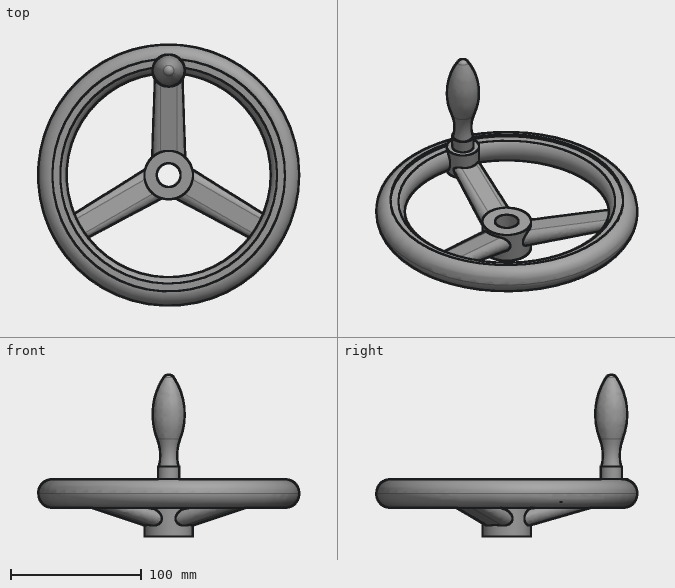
import cadquery as cq

outer_radius = 100.0
rim_section_radius = 11.0
rim_center_radius = outer_radius - rim_section_radius
rim_center_z = 33.0
rim_top_z = rim_center_z + rim_section_radius
ledge_depth = 1.8

hub_diameter = 37.2
hub_height = 24.0
bore_diameter = 18.0

spoke_count = 3
first_spoke_angle = 90
spoke_flat_width = 12.5
spoke_axis_z = 10.5
spoke_inner_thickness = 14.0
spoke_outer_thickness = 7.8

handle_y = 80.0
boss_radius = 12.5
boss_height = 21.2
handle_base_radius = 8.2
handle_base_top_z = 53.5
neck_start_radius = 7.5
neck_radius = 6.5
neck_z = 63.2
grip_start_radius = 8.8
grip_start_z = 74.5
grip_radius = 12.5
grip_widest_z = 93.5
tip_radius = 4.0
tip_start_z = 121.8
handle_top_z = 124.0


def make_rim():
    ring = (
        cq.Workplane("XZ")
        .center(rim_center_radius, rim_center_z)
        .circle(rim_section_radius)
        .revolve(360, (-rim_center_radius, 0, 0), (-rim_center_radius, 1, 0))
    )
    ledge = (
        cq.Workplane("XY", origin=(0, 0, rim_top_z - ledge_depth))
        .circle(rim_center_radius)
        .extrude(2 * ledge_depth)
    )
    return ring.cut(ledge)


def make_spoke(angle):
    rise = rim_center_z - spoke_axis_z
    spoke = (
        cq.Workplane("YZ", origin=(0, 0, spoke_axis_z))
        .slot2D(spoke_flat_width + spoke_inner_thickness, spoke_inner_thickness)
        .workplane(offset=rim_center_radius)
        .center(0, rise)
        .slot2D(spoke_flat_width + spoke_outer_thickness, spoke_outer_thickness)
        .loft(ruled=True)
    )
    return spoke.rotate((0, 0, 0), (0, 0, 1), angle)


def make_boss():
    return (
        cq.Workplane("XY", origin=(0, handle_y, rim_top_z - boss_height))
        .circle(boss_radius)
        .extrude(boss_height)
    )


def make_handle():
    cap_height = handle_top_z - tip_start_z
    cap_sphere_radius = (tip_radius**2 + cap_height**2) / (2 * cap_height)
    cap_mid_radius = tip_radius / 2
    cap_mid_z = handle_top_z - cap_sphere_radius + (cap_sphere_radius**2 - cap_mid_radius**2) ** 0.5
    profile = (
        cq.Workplane("XZ")
        .moveTo(0, rim_center_z)
        .lineTo(handle_base_radius, rim_center_z)
        .lineTo(handle_base_radius, handle_base_top_z)
        .lineTo(neck_start_radius, handle_base_top_z)
        .threePointArc((neck_radius, neck_z), (grip_start_radius, grip_start_z))
        .threePointArc((grip_radius, grip_widest_z), (tip_radius, tip_start_z))
        .threePointArc((cap_mid_radius, cap_mid_z), (0, handle_top_z))
        .close()
    )
    return profile.revolve(360, (0, 0, 0), (0, 1, 0)).translate((0, handle_y, 0))


hub = cq.Workplane("XY").circle(hub_diameter / 2).extrude(hub_height)
bore = cq.Workplane("XY").circle(bore_diameter / 2).extrude(hub_height)

wheel = make_rim().union(hub)
for index in range(spoke_count):
    wheel = wheel.union(make_spoke(first_spoke_angle + index * 360 / spoke_count))

result = wheel.union(make_boss()).union(make_handle()).cut(bore)